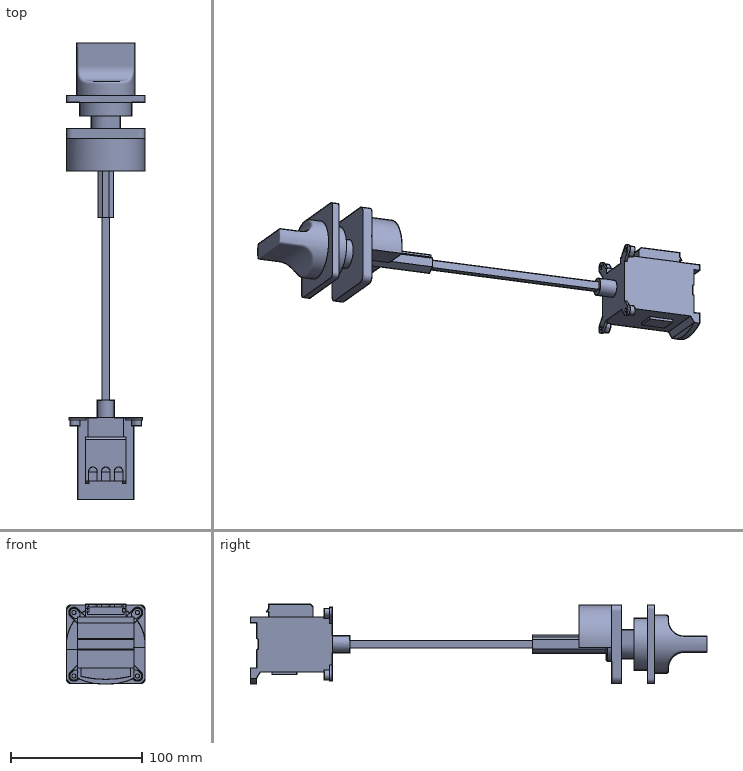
import cadquery as cq
import math


handle_tip_y = 348.22
door_plate_back_y = 308.2
door_plate_front_y = 302.7
collar_front_y = 292.3
bearing_plate_back_y = 283.0
bearing_plate_front_y = 275.4
drum_front_y = 250.4
sleeve_front_y = 215.0
shaft_socket_back_y = 75.9
body_back_y = 62.5
body_front_y = 4.7

knob_radius = 22.3
knob_face_y = 318.8
grip_thickness = 12.5
grip_edge_rounding = 2.0
scoop_radius = 11.7
grip_tip_rounding = 0.8
selection_margin = 0.1

plate_size = 60.0
door_plate_corner = 3.5
bearing_plate_corner = 5.0
door_collar_radius = 20.0
neck_radius = 11.1
drum_radius = plate_size / 2
drum_left_flat_z = -4.2
drum_right_flat_z = -2.5
hub_radius = 13.0
hub_length = 4.2
hub_chamfer = 1.0
sleeve_across_flats = 12.0
sleeve_rib_width = 5.0
sleeve_rib_top_z = 7.2
shaft_size = 6.0
shaft_socket_radius = 6.6

body_width = 43.0
body_top_z = 20.8
body_bottom_z = -21.2
top_lip_bottom_z = 16.3
bottom_lip_top_z = -18.0
bottom_lip_end_z = -30.6
bottom_lip_shoulder_z = -26.0
lip_bevel_width = 37.4
lip_bevel_depth = 0.4
lip_bevel_side_z = -24.5
lip_bevel_middle_z = -26.8
lip_slope_run = 3.0
rail_groove_depth = 1.2
rail_groove_top_z = 4.4
rail_groove_bottom_z = -4.4
rail_groove_slope = 0.8
label_pad_width = 16.5
label_pad_front_y = 16.5
label_pad_back_y = 35.5
label_pad_height = 2.0
top_recess_width = 27.0
top_recess_depth = 4.5

terminal_width = 30.5
terminal_front_y = 14.0
terminal_back_y = 47.8
terminal_top_z = 30.6
terminal_chamfer = 2.0
terminal_slot_width = 6.4
terminal_slot_pitch = 9.8
terminal_slot_length = 10.8
terminal_slot_floor_z = 28.3
terminal_chamber_width = 28.0
terminal_chamber_depth = 7.0
terminal_chamber_floor_z = 22.5
nose_length = 1.8
nose_width = 2.5
nose_bottom_z = 24.7
nose_top_z = 27.3

ear_offset = 24.2
ear_radius = 4.0
ear_thickness = 2.0
ear_arm_length = 8.0
ear_boss_arm_length = 2.0
ear_boss_radius = 3.2
ear_boss_length = 4.3
ear_hole_radius = 1.6


def box(x_min, x_max, y_min, y_max, z_min, z_max):
    corner = (x_min, y_min, z_min)
    return cq.Workplane("XY").box(
        x_max - x_min, y_max - y_min, z_max - z_min, centered=False
    ).translate(corner)


def section_plane(y):
    """Plane across the shaft at y: local x is +X, local y is +Z, extrusion runs toward -Y."""
    return cq.Workplane(cq.Plane(origin=(0, y, 0), xDir=(1, 0, 0), normal=(0, -1, 0)))


def cylinder(radius, y_back, y_front):
    return section_plane(y_back).circle(radius).extrude(y_back - y_front)


def square_bar(size, y_back, y_front):
    return section_plane(y_back).rect(size, size).extrude(y_back - y_front)


def side_profile(points, width):
    """Prism of the given (y, z) outline, centred on X = 0."""
    return cq.Workplane("YZ").polyline(points).close().extrude(width / 2, both=True)


def scoop_rim_selector(z_min):
    """Edges of one scoop: those centred behind the tip face and within its height above z_min."""
    z_max = z_min + knob_radius - grip_thickness / 2
    return cq.selectors.BoxSelector(
        (-knob_radius, knob_face_y - selection_margin, z_min - selection_margin),
        (knob_radius, handle_tip_y - selection_margin, z_max + selection_margin),
    )


def make_handle():
    """Round knob scooped away on both sides, leaving a flat grip at its tip."""
    half_grip = grip_thickness / 2
    knob = cylinder(knob_radius, handle_tip_y, door_plate_back_y)
    arc_end_z = half_grip + scoop_radius
    arc_middle = scoop_radius * (1 - math.sqrt(0.5))
    scoop = (
        cq.Workplane("YZ")
        .moveTo(handle_tip_y, half_grip)
        .lineTo(knob_face_y + scoop_radius, half_grip)
        .threePointArc(
            (knob_face_y + arc_middle, half_grip + arc_middle),
            (knob_face_y, arc_end_z),
        )
        .lineTo(knob_face_y, knob_radius)
        .lineTo(handle_tip_y, knob_radius)
        .close()
        .extrude(knob_radius, both=True)
    )
    knob = knob.cut(scoop).cut(scoop.mirror("XY"))
    rims = scoop_rim_selector(half_grip) + scoop_rim_selector(-knob_radius)
    knob = knob.edges(rims - cq.selectors.ParallelDirSelector(cq.Vector(1, 0, 0)))
    return knob.fillet(grip_edge_rounding).faces(">Y").edges().fillet(grip_tip_rounding)


def make_plate(y_back, y_front, corner_radius):
    return square_bar(plate_size, y_back, y_front).edges("|Y").fillet(corner_radius)


def make_neck():
    """Round neck with one quadrant filled out to a square corner."""
    corner = box(0, neck_radius, bearing_plate_back_y, collar_front_y, 0, neck_radius)
    return cylinder(neck_radius, collar_front_y, bearing_plate_back_y).union(corner)


def make_drum():
    drum = cylinder(drum_radius, bearing_plate_front_y, drum_front_y)
    for x_min, x_max, flat_z in (
        (-drum_radius, 0, drum_left_flat_z),
        (0, drum_radius, drum_right_flat_z),
    ):
        drum = drum.cut(box(x_min, x_max, drum_front_y, bearing_plate_front_y, -drum_radius, flat_z))
    hub = cylinder(hub_radius, bearing_plate_front_y, bearing_plate_front_y - hub_length)
    return drum.union(hub.faces("<Y").chamfer(hub_chamfer))


def make_sleeve():
    """Hexagonal sleeve with a flat-topped rib along its upper corner."""
    length = bearing_plate_front_y - sleeve_front_y
    across_corners = sleeve_across_flats / math.cos(math.pi / 6)
    hexagon = section_plane(bearing_plate_front_y).transformed(rotate=(0, 0, 90))
    half_rib = sleeve_rib_width / 2
    rib = box(-half_rib, half_rib, sleeve_front_y, bearing_plate_front_y, 0, sleeve_rib_top_z)
    return hexagon.polygon(6, across_corners).extrude(length).union(rib)


def make_body():
    groove_y = body_front_y + rail_groove_depth
    body = side_profile(
        [
            (body_back_y, body_top_z),
            (0, body_top_z),
            (0, top_lip_bottom_z),
            (body_front_y, top_lip_bottom_z),
            (body_front_y, rail_groove_top_z),
            (groove_y, rail_groove_top_z - rail_groove_slope),
            (groove_y, rail_groove_bottom_z + rail_groove_slope),
            (body_front_y, rail_groove_bottom_z),
            (body_front_y, bottom_lip_top_z),
            (0, bottom_lip_top_z),
            (0, bottom_lip_end_z),
            (body_front_y, bottom_lip_end_z),
            (body_front_y, bottom_lip_shoulder_z),
            (body_front_y + lip_slope_run, body_bottom_z),
            (body_back_y, body_bottom_z),
        ],
        body_width,
    )
    return body.intersect(make_body_front_outline()).cut(make_lip_bevel())


def make_body_front_outline():
    """Body seen along the shaft: straight sides and an arched lower edge."""
    half = body_width / 2
    return (
        section_plane(body_back_y)
        .moveTo(-half, body_top_z)
        .lineTo(-half, bottom_lip_shoulder_z)
        .threePointArc((0, bottom_lip_end_z), (half, bottom_lip_shoulder_z))
        .lineTo(half, body_top_z)
        .close()
        .extrude(body_back_y)
    )


def make_lip_bevel():
    """Wedge off the face of the bottom lip, deepening downward to an arched ledge."""
    half = lip_bevel_width / 2
    region = (
        section_plane(lip_bevel_depth)
        .moveTo(-half, bottom_lip_top_z)
        .lineTo(-half, lip_bevel_side_z)
        .threePointArc((0, lip_bevel_middle_z), (half, lip_bevel_side_z))
        .lineTo(half, bottom_lip_top_z)
        .close()
        .extrude(lip_bevel_depth)
    )
    wedge = side_profile(
        [(0, bottom_lip_top_z), (lip_bevel_depth, lip_bevel_middle_z), (0, lip_bevel_middle_z)],
        lip_bevel_width,
    )
    return region.intersect(wedge)


def make_top_recess():
    half = top_recess_width / 2
    return box(-half, half, terminal_back_y, body_back_y, body_top_z - top_recess_depth, body_top_z)


def make_label_pad():
    half = label_pad_width / 2
    bottom = body_bottom_z - label_pad_height
    return box(-half, half, label_pad_front_y, label_pad_back_y, bottom, body_bottom_z)


def make_terminal_slot(x):
    """Flat-floored slot with a round back end, open to the front of the block."""
    half = terminal_slot_width / 2
    end_centre_y = terminal_front_y + terminal_slot_length - half
    depth = terminal_top_z - terminal_slot_floor_z
    slot = box(-half, half, terminal_front_y, end_centre_y, terminal_slot_floor_z, terminal_top_z)
    round_end = (
        cq.Workplane("XY", origin=(0, end_centre_y, terminal_slot_floor_z)).circle(half).extrude(depth)
    )
    return slot.union(round_end).translate((x, 0, 0))


def make_terminal_block():
    half = terminal_width / 2
    block = box(-half, half, terminal_front_y, terminal_back_y, body_top_z, terminal_top_z)
    block = block.edges(">Y and >Z").chamfer(terminal_chamfer)
    for index in (-1, 0, 1):
        block = block.cut(make_terminal_slot(index * terminal_slot_pitch))
    half_chamber = terminal_chamber_width / 2
    chamber_back_y = terminal_front_y + terminal_chamber_depth
    chamber = box(
        -half_chamber,
        half_chamber,
        terminal_front_y,
        chamber_back_y,
        terminal_chamber_floor_z,
        terminal_slot_floor_z,
    )
    block = block.cut(chamber)
    nose = side_profile(
        [
            (terminal_front_y, nose_top_z),
            (terminal_front_y - nose_length, nose_bottom_z),
            (terminal_front_y, nose_bottom_z),
        ],
        nose_width,
    )
    for side in (-1, 1):
        block = block.union(nose.translate((side * (terminal_width - nose_width) / 2, 0, 0)))
    return block


def make_ear(x_side, z_side):
    """Arm running diagonally out of a body corner, with a drilled boss at its end."""
    x = x_side * ear_offset
    z = z_side * ear_offset
    tilt = 45 * x_side * z_side
    ear_front_y = body_back_y - ear_thickness

    def diagonal_slot(y, length, radius):
        inward = length / 2 * math.sqrt(0.5)
        return (
            section_plane(y)
            .center(x - x_side * inward, z - z_side * inward)
            .transformed(rotate=(0, 0, tilt))
            .slot2D(length + 2 * radius, 2 * radius)
        )

    arm = diagonal_slot(body_back_y, ear_arm_length, ear_radius).extrude(ear_thickness)
    boss = diagonal_slot(ear_front_y, ear_boss_arm_length, ear_boss_radius).extrude(ear_boss_length)
    hole = (
        section_plane(body_back_y)
        .center(x, z)
        .circle(ear_hole_radius)
        .extrude(ear_thickness + ear_boss_length)
    )
    return arm.union(boss).cut(hole)


def make_switch():
    switch = make_body().cut(make_top_recess())
    switch = switch.union(make_label_pad()).union(make_terminal_block())
    for x_side in (-1, 1):
        for z_side in (-1, 1):
            switch = switch.union(make_ear(x_side, z_side))
    return switch


parts = [
    make_plate(door_plate_back_y, door_plate_front_y, door_plate_corner),
    cylinder(door_collar_radius, door_plate_front_y, collar_front_y),
    make_neck(),
    make_plate(bearing_plate_back_y, bearing_plate_front_y, bearing_plate_corner),
    make_drum(),
    make_sleeve(),
    square_bar(shaft_size, sleeve_front_y, shaft_socket_back_y),
    cylinder(shaft_socket_radius, shaft_socket_back_y, body_back_y),
    make_switch(),
]

result = make_handle()
for part in parts:
    result = result.union(part)